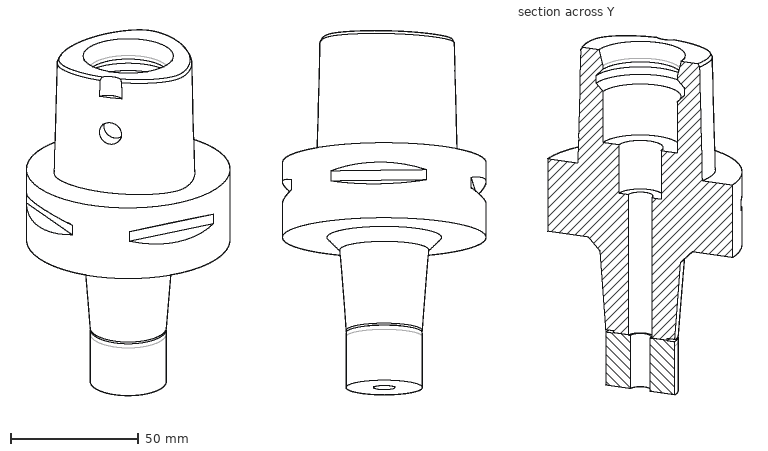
import cadquery as cq
import math

flange_radius = 40.0
flange_height = 30.0
shank_height = 48.0
overall_length = 138.0

shank_mean_radius = 27.6
shank_lobe_height = 1.95
shank_taper_per_mm = 0.025
shank_curve_points = 48
shank_chamfer_height = 1.3
shank_chamfer_width = 0.7

cone_bottom_radius = 17.5
cone_height = 5.0
neck_tip_radius = 15.0
spigot_radius = 11.7
gap_height = 0.8

nut_radius = 15.0
nut_height = 22.0
nut_chamfer_height = 1.7
nut_chamfer_width = 0.1

entry_radius = 17.7
entry_depth = 6.4
lip_bottom_depth = 7.9
groove_radius = 19.0
groove_bottom_depth = 14.0
drawbar_radius = 16.0
drawbar_depth = 38.0
counterbore_radius = 9.0
counterbore_depth = 58.0
channel_radius = 5.0
nut_hole_radius = 4.2

keyway_radius = 6.0
keyway_inner_y = -22.3
keyway_depth = 8.0
cross_hole_radius = 4.5
cross_hole_height = 25.0
cross_hole_floor_y = -18.5

groove_count = 4
groove_floor_distance = 35.3
groove_floor_height = 4.0
groove_mouth_height = 8.7
groove_center_z = -12.1

flange_bottom_z = -flange_height
cone_top_radius = cone_bottom_radius + cone_height
cone_bottom_z = flange_bottom_z - cone_height
groove_step = groove_radius - drawbar_radius
nut_bottom_z = shank_height - overall_length
nut_top_z = nut_bottom_z + nut_height
neck_bottom_z = nut_top_z + gap_height


def lobed_wire(mean_radius, z):
    """Closed three-lobed curve of constant width, with one lobe toward +Y."""
    points = []
    for i in range(shank_curve_points):
        angle = math.pi + 2 * math.pi * i / shank_curve_points
        along = (mean_radius * math.cos(angle)
                 + 2 * shank_lobe_height * math.cos(2 * angle)
                 - shank_lobe_height * math.cos(4 * angle))
        across = (mean_radius * math.sin(angle)
                  - 2 * shank_lobe_height * math.sin(2 * angle)
                  - shank_lobe_height * math.sin(4 * angle))
        points.append(cq.Vector(-across, along, z))
    return cq.Wire.assembleEdges([cq.Edge.makeSpline(points, periodic=True)])


def lobed_frustum(bottom_radius, bottom_z, top_radius, top_z):
    """Straight-sided solid between two lobed curves."""
    wires = [lobed_wire(bottom_radius, bottom_z), lobed_wire(top_radius, top_z)]
    return cq.Workplane(cq.Solid.makeLoft(wires, True))


def make_shank():
    chamfer_z = shank_height - shank_chamfer_height
    chamfer_radius = shank_mean_radius - shank_taper_per_mm * chamfer_z
    taper = lobed_frustum(shank_mean_radius, 0, chamfer_radius, chamfer_z)
    tip = lobed_frustum(chamfer_radius, chamfer_z, chamfer_radius - shank_chamfer_width, shank_height)
    return taper.union(tip)


def make_lower_body():
    """Flange, cone, tapered neck and spigot, turned about Z."""
    profile = [
        (0, 0),
        (flange_radius, 0),
        (flange_radius, flange_bottom_z),
        (cone_top_radius, flange_bottom_z),
        (cone_bottom_radius, cone_bottom_z),
        (neck_tip_radius, neck_bottom_z),
        (spigot_radius, neck_bottom_z),
        (spigot_radius, nut_top_z),
        (0, nut_top_z),
    ]
    return cq.Workplane("XZ").polyline(profile).close().revolve(360, (0, 0), (0, 1))


def make_bore():
    """Bore with a conical mouth, an undercut groove below a lip, and steps down to the nut."""
    profile = [
        (0, shank_height),
        (entry_radius, shank_height),
        (drawbar_radius, shank_height - entry_depth),
        (drawbar_radius, shank_height - lip_bottom_depth),
        (groove_radius, shank_height - lip_bottom_depth - groove_step),
        (groove_radius, shank_height - groove_bottom_depth),
        (drawbar_radius, shank_height - groove_bottom_depth - groove_step),
        (drawbar_radius, shank_height - drawbar_depth),
        (counterbore_radius, shank_height - drawbar_depth),
        (counterbore_radius, shank_height - counterbore_depth),
        (channel_radius, shank_height - counterbore_depth),
        (channel_radius, nut_top_z),
        (0, nut_top_z),
    ]
    return cq.Workplane("XZ").polyline(profile).close().revolve(360, (0, 0), (0, 1))


def make_keyway():
    return (
        cq.Workplane("XY", origin=(0, keyway_inner_y - keyway_radius, shank_height - keyway_depth))
        .circle(keyway_radius)
        .extrude(keyway_depth)
    )


def make_cross_hole():
    return (
        cq.Workplane("XZ", origin=(0, cross_hole_floor_y, cross_hole_height))
        .circle(cross_hole_radius)
        .extrude(flange_radius + cross_hole_floor_y)
    )


def make_gripper_grooves():
    """Straight trapezoidal grooves, one across each flange diagonal."""
    half_floor = groove_floor_height / 2
    half_mouth = groove_mouth_height / 2
    section = [
        (groove_floor_distance, groove_center_z - half_floor),
        (flange_radius, groove_center_z - half_mouth),
        (flange_radius, groove_center_z + half_mouth),
        (groove_floor_distance, groove_center_z + half_floor),
    ]
    groove = cq.Workplane("XZ").polyline(section).close().extrude(flange_radius, both=True)
    step = 360 / groove_count
    return [groove.rotate((0, 0, 0), (0, 0, 1), step * (i + 0.5)) for i in range(groove_count)]


def make_holder():
    body = make_lower_body().union(make_shank())
    body = body.cut(make_bore()).cut(make_keyway()).cut(make_cross_hole())
    for groove in make_gripper_grooves():
        body = body.cut(groove)
    return body


def make_nut():
    profile = [
        (nut_hole_radius, nut_bottom_z),
        (nut_radius, nut_bottom_z),
        (nut_radius, nut_top_z - nut_chamfer_height),
        (nut_radius - nut_chamfer_width, nut_top_z),
        (nut_hole_radius, nut_top_z),
    ]
    return cq.Workplane("XZ").polyline(profile).close().revolve(360, (0, 0), (0, 1))


holder = make_holder()
nut = make_nut()

result = cq.Compound.makeCompound([holder.val(), nut.val()])